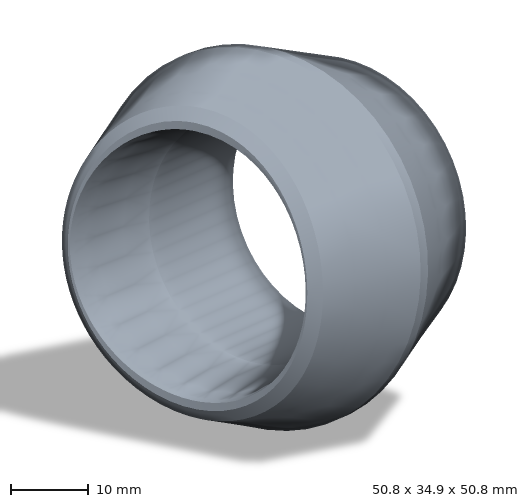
import cadquery as cq

length = 34.9
band_radius = 25.4
band_width = 1.7
flat_end_to_band = 17.35
flat_end_radius = 19.5
front_taper = 0.35
bore_radius = 16.65
mouth_radius = 18.3
bore_taper_length = 15.75
saddle_radius = 103.65
saddle_rise = 1.7
bevel_on_saddle = 1.4
bevel_on_cone = 1.2
clearance = 2.55

flat_end_y = length / 2
front_y = -length / 2
band_back_y = flat_end_y - flat_end_to_band
band_front_y = band_back_y - band_width
saddle_top_y = front_y + saddle_rise


def revolve_about_y(profile):
    """Turn a closed (radius, y) profile about the fitting axis."""
    sketch_plane = cq.Plane(origin=(0, 0, 0), xDir=(0, 0, 1), normal=(-1, 0, 0))
    return cq.Workplane(sketch_plane).polyline(profile).close().revolve(360, (0, 0, 0), (0, 1, 0))


stock_y = front_y - clearance
stock_radius = band_radius - front_taper * (band_front_y - stock_y)
body = revolve_about_y([
    (0, flat_end_y),
    (flat_end_radius, flat_end_y),
    (band_radius, band_back_y),
    (band_radius, band_front_y),
    (stock_radius, stock_y),
    (0, stock_y),
])

saddle = (
    cq.Workplane("XY")
    .center(0, saddle_top_y - saddle_radius)
    .circle(saddle_radius)
    .extrude(band_radius, both=True)
)
body = body.cut(saddle)

saddle_face = body.faces("<Y").val()
rim = saddle_face.outerWire().Edges()
body = cq.Workplane(body.val().chamfer(bevel_on_saddle, bevel_on_cone, rim))

flare_start_y = front_y + bore_taper_length
flare_slope = (mouth_radius - bore_radius) / bore_taper_length
tool_radius = mouth_radius + flare_slope * clearance
bore = revolve_about_y([
    (0, flat_end_y),
    (bore_radius, flat_end_y),
    (bore_radius, flare_start_y),
    (tool_radius, front_y - clearance),
    (0, front_y - clearance),
])
result = body.cut(bore).solids()